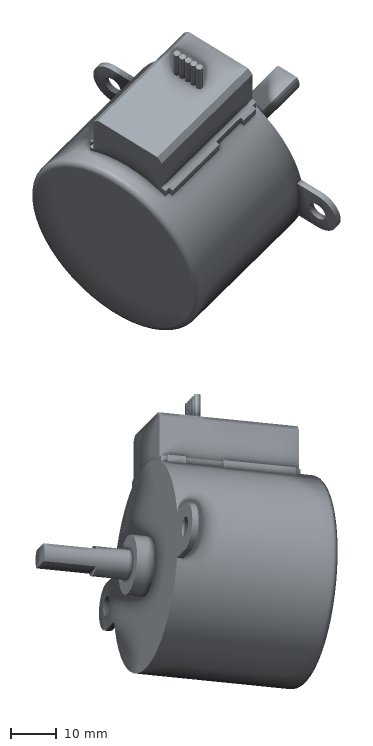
import cadquery as cq
import math


can_radius = 23.5
can_length = 36.95
can_fillet = 1.35

boss_radius = 6.65
boss_length = 4.1
shaft_radius = 3.3
shaft_end = 24.2
flats_start = 12.15
flats_thickness = 4.15

ear_half_span = 33.9
ear_radius = 5.35
ear_thickness = 1.4
ear_hole_radius = 2.25
ear_center = ear_half_span - ear_radius

cover_half_width = 9.5
cover_top = 32.95
cover_start = 0.2
cover_end = 32.2
cover_chamfer = 1.2

ledge_half_width = 10.5
tab_half_width = 11.4
ledge_radius = 25.15
ledge_flat_height = 22.3
tab_spans = [(1.4, 5.7), (14.3, 30.85)]

wire_count = 5
wire_radius = 0.75
wire_pitch = 1.55
wire_depth = 10.85
wire_top = 39.65
wire_embed = 0.7


def cross_section(y):
    """Workplane at the given Y, drawn in X and Z and extruded toward -Y."""
    return cq.Workplane("XZ", origin=(0, y, 0))


def make_can():
    can = cross_section(0).circle(can_radius).extrude(can_length)
    return can.faces("<Y").edges().fillet(can_fillet)


def make_shaft():
    boss = cross_section(boss_length).circle(boss_radius).extrude(boss_length)
    round_part = cross_section(flats_start).circle(shaft_radius).extrude(flats_start)
    flat_length = shaft_end - flats_start
    flat_part = cross_section(shaft_end).circle(shaft_radius).extrude(flat_length)
    flat_envelope = (
        cross_section(shaft_end).rect(2 * shaft_radius, flats_thickness).extrude(flat_length)
    )
    return boss.union(round_part).union(flat_part.intersect(flat_envelope))


def make_ears():
    plate = cross_section(0).slot2D(2 * ear_half_span, 2 * ear_radius).extrude(ear_thickness)
    holes = (
        cross_section(0)
        .pushPoints([(-ear_center, 0), (ear_center, 0)])
        .circle(ear_hole_radius)
        .extrude(ear_thickness)
    )
    return plate.cut(holes)


def make_cover():
    cover = (
        cross_section(-cover_start)
        .center(0, cover_top / 2)
        .rect(2 * cover_half_width, cover_top)
        .extrude(cover_end - cover_start)
    )
    return cover.faces(">Z").edges("|Y").chamfer(cover_chamfer)


def make_ledge(half_width, start, end):
    """Ledge slice: flat on top on the -X side, concentric with the can on the +X side."""
    arc_inner_z = math.sqrt(ledge_radius**2 - cover_half_width**2)
    arc_outer_z = math.sqrt(ledge_radius**2 - half_width**2)
    arc_middle_x = (cover_half_width + half_width) / 2
    arc_middle_z = math.sqrt(ledge_radius**2 - arc_middle_x**2)
    return (
        cross_section(-start)
        .moveTo(-half_width, 0)
        .lineTo(-half_width, ledge_flat_height)
        .lineTo(cover_half_width, ledge_flat_height)
        .lineTo(cover_half_width, arc_inner_z)
        .threePointArc((arc_middle_x, arc_middle_z), (half_width, arc_outer_z))
        .lineTo(half_width, 0)
        .close()
        .extrude(end - start)
    )


def make_wires():
    first_x = -wire_pitch * (wire_count - 1) / 2
    positions = [(first_x + i * wire_pitch, -wire_depth) for i in range(wire_count)]
    wire_base = cover_top - wire_embed
    return (
        cq.Workplane("XY", origin=(0, 0, wire_base))
        .pushPoints(positions)
        .circle(wire_radius)
        .extrude(wire_top - wire_base)
    )


result = make_can().union(make_shaft()).union(make_ears()).union(make_cover())
result = result.union(make_ledge(ledge_half_width, cover_start, cover_end))
for tab_start, tab_end in tab_spans:
    result = result.union(make_ledge(tab_half_width, tab_start, tab_end))
result = result.union(make_wires())